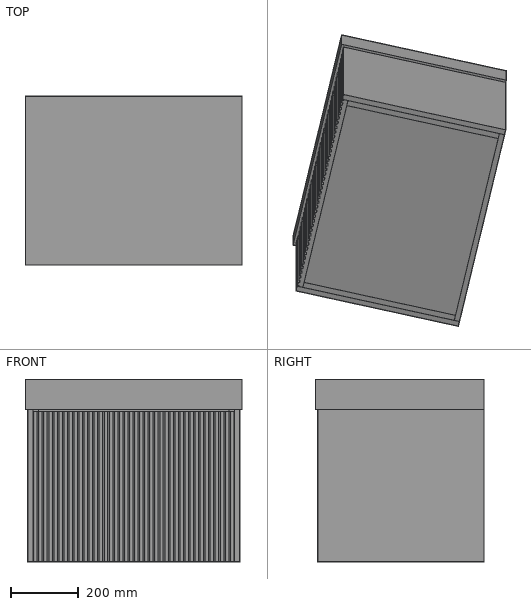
import cadquery as cq

WIDTH = 642.0
DEPTH = 500.0
HEIGHT = 540.0

LID_HEIGHT = 90.0
SIDE_OVERHANG = 7.0
FRONT_OVERHANG = 7.0

CLADDING_THICKNESS = 15.5
BOARD_THICKNESS = 16.0

DOOR_BACKING_THICKNESS = 13.0
DOOR_TOP_GAP = 4.5
FLUTE_COUNT = 40
FLUTE_WIDTH = 10.0
FLUTE_HEIGHT = 4.5

CABINET_HEIGHT = HEIGHT - LID_HEIGHT
CABINET_HALF_WIDTH = WIDTH / 2 - SIDE_OVERHANG
CABINET_FRONT = FRONT_OVERHANG
INNER_HALF_WIDTH = CABINET_HALF_WIDTH - CLADDING_THICKNESS

DOOR_WIDTH = 2 * INNER_HALF_WIDTH
DOOR_HEIGHT = CABINET_HEIGHT - DOOR_TOP_GAP
DOOR_FACE = CABINET_FRONT + FLUTE_HEIGHT
DOOR_REAR = DOOR_FACE + DOOR_BACKING_THICKNESS
FLUTE_PITCH = DOOR_WIDTH / FLUTE_COUNT

BACK_FRONT = DEPTH - BOARD_THICKNESS
BAY_HALF_WIDTH = INNER_HALF_WIDTH - BOARD_THICKNESS


def block(x_range, y_range, z_range):
    """Rectangular board spanning the given (low, high) ranges."""
    size = [high - low for low, high in (x_range, y_range, z_range)]
    corner = (x_range[0], y_range[0], z_range[0])
    return cq.Workplane("XY").box(*size, centered=False).translate(corner)


def side_board(side, inner, outer, front, rear):
    """Full-height upright board on the left (side = -1) or right (side = 1)."""
    x_range = sorted((side * inner, side * outer))
    return block(x_range, (front, rear), (0, CABINET_HEIGHT))


def make_lid():
    """Plain slab covering the whole cabinet."""
    return block((-WIDTH / 2, WIDTH / 2), (0, DEPTH), (CABINET_HEIGHT, HEIGHT))


def make_cladding(side):
    """Outer side panel, running from the cabinet front to its rear."""
    return side_board(side, INNER_HALF_WIDTH, CABINET_HALF_WIDTH, CABINET_FRONT, DEPTH)


def make_carcass_side(side):
    """Inner side board, between the door and the back board."""
    return side_board(side, BAY_HALF_WIDTH, INNER_HALF_WIDTH, DOOR_REAR, BACK_FRONT)


def make_shelf(bottom):
    """Horizontal board between the carcass sides, with its underside at the given height."""
    return block(
        (-BAY_HALF_WIDTH, BAY_HALF_WIDTH),
        (DOOR_REAR, BACK_FRONT),
        (bottom, bottom + BOARD_THICKNESS),
    )


def make_back():
    """Back board, set between the two cladding panels."""
    return block((-INNER_HALF_WIDTH, INNER_HALF_WIDTH), (BACK_FRONT, DEPTH), (0, CABINET_HEIGHT))


def make_door():
    """Flat backing with a row of vertical flutes, extruded from one outline.

    Every flute stands between two narrow flat lands. The lands of neighbouring flutes
    stay separate faces, so the extrusion is not cleaned.
    """
    outline = cq.Workplane("XY").moveTo(-INNER_HALF_WIDTH, DOOR_REAR).lineTo(-INNER_HALF_WIDTH, DOOR_FACE)
    for index in range(FLUTE_COUNT):
        centre = -INNER_HALF_WIDTH + (index + 0.5) * FLUTE_PITCH
        left = (centre - FLUTE_WIDTH / 2, DOOR_FACE)
        crest = (centre, CABINET_FRONT)
        right = (centre + FLUTE_WIDTH / 2, DOOR_FACE)
        strip_end = (centre + FLUTE_PITCH / 2, DOOR_FACE)
        outline = outline.lineTo(*left).threePointArc(crest, right).lineTo(*strip_end)
    outline = outline.lineTo(INNER_HALF_WIDTH, DOOR_REAR).close()
    return outline.extrude(DOOR_HEIGHT, clean=False)


lid = make_lid()
claddings = [make_cladding(side) for side in (-1, 1)]
door = make_door()
carcass_sides = [make_carcass_side(side) for side in (-1, 1)]
carcass_bottom = make_shelf(0)
carcass_top = make_shelf(CABINET_HEIGHT - BOARD_THICKNESS)
back = make_back()

result = cq.Compound.makeCompound([
    lid.val(),
    *[cladding.val() for cladding in claddings],
    door.val(),
    *[carcass_side.val() for carcass_side in carcass_sides],
    carcass_bottom.val(),
    carcass_top.val(),
    back.val(),
])